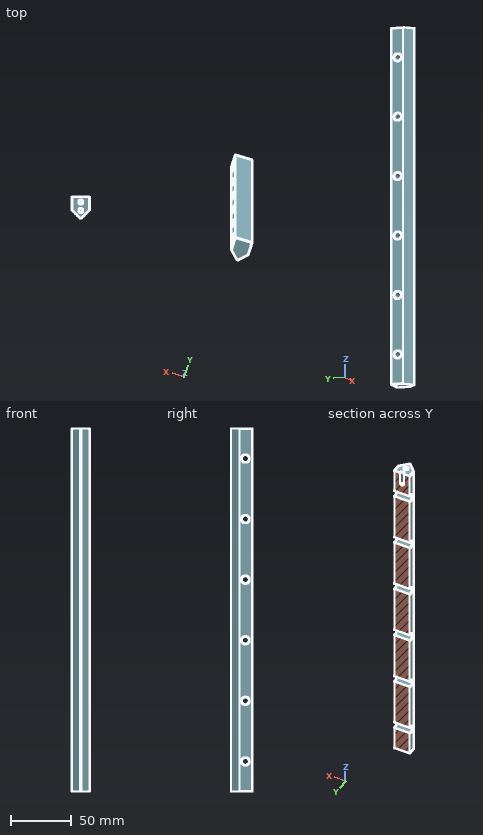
import cadquery as cq
import math

WIDTH = 15.0
DEPTH = 18.0
LENGTH = 300.0
TIP_WIDTH = 1.0
EDGE_CHAMFER = 0.5

CROSS_HOLE_COUNT = 6
CROSS_HOLE_PITCH = LENGTH / CROSS_HOLE_COUNT
CROSS_HOLE_DIAMETER = 6.0
CROSS_HOLE_MOUTH_DIAMETER = 6.75
CROSS_HOLE_FROM_BACK = 6.0

END_HOLE_DIAMETER = 3.0
END_HOLE_MOUTH_DIAMETER = 4.0
END_HOLE_DEPTH = 12.0
DRILL_POINT_ANGLE = 118.0
END_HOLES_FROM_BACK = (4.5, 11.5)

BACK_Y = DEPTH / 2
TIP_Y = -DEPTH / 2
TOP_Z = LENGTH / 2


def rail_body():
    """Bar with two 45 degree flanks meeting at a blunted V edge and chamfered back and sides."""
    half_width = WIDTH / 2
    half_tip = TIP_WIDTH / 2
    shoulder_y = TIP_Y + half_width - half_tip
    outline = [
        (-half_width, BACK_Y),
        (-half_width, shoulder_y),
        (-half_tip, TIP_Y),
        (half_tip, TIP_Y),
        (half_width, shoulder_y),
        (half_width, BACK_Y),
    ]
    base = cq.Workplane("XY").workplane(offset=-TOP_Z)
    bar = base.polyline(outline).close().extrude(LENGTH)
    straight_end_edges = "(#Z and >Y) or (|Y and <X) or (|Y and >X)"
    back_corner_edges = "|Z and >Y"
    return bar.edges(f"({straight_end_edges}) or ({back_corner_edges})").chamfer(EDGE_CHAMFER)


def chamfered_mouth(face_point, inward, hole_diameter, mouth_diameter):
    """45 degree cone that breaks the edge of a hole."""
    mouth_radius = mouth_diameter / 2
    hole_radius = hole_diameter / 2
    depth = mouth_radius - hole_radius
    return cq.Workplane(cq.Solid.makeCone(mouth_radius, hole_radius, depth, face_point, inward))


def cross_hole(z):
    """Hole through the full width with both mouths chamfered."""
    y = BACK_Y - CROSS_HOLE_FROM_BACK
    left_center = cq.Vector(-WIDTH / 2, y, z)
    right_center = cq.Vector(WIDTH / 2, y, z)
    to_right = cq.Vector(1, 0, 0)
    cutter = cq.Workplane(
        cq.Solid.makeCylinder(CROSS_HOLE_DIAMETER / 2, WIDTH, left_center, to_right)
    )
    for face_point, inward in ((left_center, to_right), (right_center, -to_right)):
        mouth = chamfered_mouth(face_point, inward, CROSS_HOLE_DIAMETER, CROSS_HOLE_MOUTH_DIAMETER)
        cutter = cutter.union(mouth)
    return cutter


def end_hole(from_back):
    """Blind drilled hole going down from the top end, with a drill point and a chamfered mouth."""
    y = BACK_Y - from_back
    radius = END_HOLE_DIAMETER / 2
    point_height = radius / math.tan(math.radians(DRILL_POINT_ANGLE / 2))
    down = cq.Vector(0, 0, -1)
    mouth_center = cq.Vector(0, y, TOP_Z)
    floor_center = cq.Vector(0, y, TOP_Z - END_HOLE_DEPTH)
    bore = cq.Workplane(cq.Solid.makeCylinder(radius, END_HOLE_DEPTH, mouth_center, down))
    point = cq.Workplane(cq.Solid.makeCone(radius, 0, point_height, floor_center, down))
    mouth = chamfered_mouth(mouth_center, down, END_HOLE_DIAMETER, END_HOLE_MOUTH_DIAMETER)
    return bore.union(point).union(mouth)


result = rail_body()

lowest_hole_z = -TOP_Z + CROSS_HOLE_PITCH / 2
for index in range(CROSS_HOLE_COUNT):
    result = result.cut(cross_hole(lowest_hole_z + index * CROSS_HOLE_PITCH))

for distance in END_HOLES_FROM_BACK:
    result = result.cut(end_hole(distance))